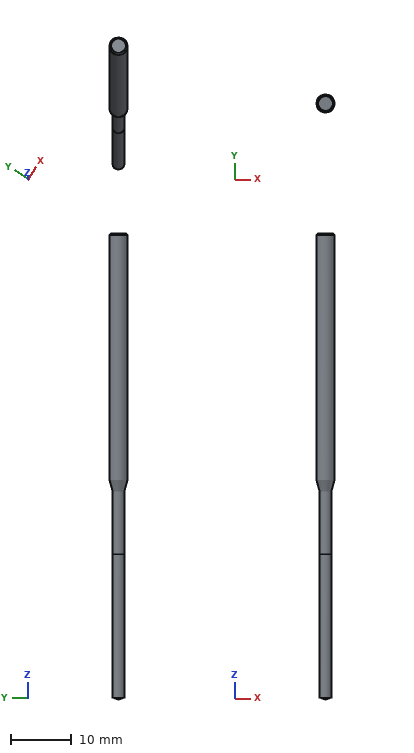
import cadquery as cq
import math

overall_length = 77.0
shank_diameter = 3.0
drill_diameter = 2.0
neck_diameter = drill_diameter
point_angle = 140.0

cutting_length = 24.0
neck_top = 34.4
cone_half_angle = 15.0
end_chamfer = 0.3

shank_radius = shank_diameter / 2
drill_radius = drill_diameter / 2
neck_radius = neck_diameter / 2
shank_bottom = neck_top + (shank_radius - neck_radius) / math.tan(math.radians(cone_half_angle))
point_height = drill_radius / math.tan(math.radians(point_angle / 2))


def revolved(profile):
    """Turn a closed (radius, height) profile around the Z axis."""
    return (
        cq.Workplane("XZ")
        .polyline(profile)
        .close()
        .revolve(axisStart=(0, 0, 0), axisEnd=(0, 1, 0))
    )


def make_cutting_part():
    """Plain drill cylinder with its conical point."""
    return revolved([
        (0, 0),
        (drill_radius, point_height),
        (drill_radius, cutting_length),
        (0, cutting_length),
    ])


def make_shank():
    """Neck, cone and chamfered shank that carry the cutting part."""
    return revolved([
        (0, cutting_length),
        (neck_radius, cutting_length),
        (neck_radius, neck_top),
        (shank_radius, shank_bottom),
        (shank_radius, overall_length - end_chamfer),
        (shank_radius - end_chamfer, overall_length),
        (0, overall_length),
    ])


cutting_part = make_cutting_part()
shank = make_shank()

result = cq.Compound.makeCompound([cutting_part.val(), shank.val()])